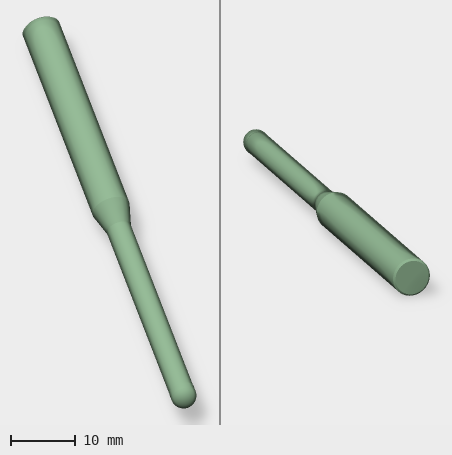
import cadquery as cq

total_length = 75.0
shank_diameter = 6.0
shank_length = 36.0
shank_chamfer = 0.3
taper_length = 4.05
neck_diameter = 3.9
head_diameter = 4.0
head_length = 3.0

shank_radius = shank_diameter / 2
neck_radius = neck_diameter / 2
ball_radius = head_diameter / 2

back_x = -total_length / 2
tip_x = total_length / 2
shank_end_x = back_x + shank_length
neck_start_x = shank_end_x + taper_length
head_start_x = tip_x - head_length
ball_centre_x = tip_x - ball_radius
arc_offset = ball_radius * 0.5**0.5

half_profile = (
    cq.Workplane("XY")
    .moveTo(back_x, 0)
    .lineTo(back_x, shank_radius - shank_chamfer)
    .lineTo(back_x + shank_chamfer, shank_radius)
    .lineTo(shank_end_x, shank_radius)
    .lineTo(neck_start_x, neck_radius)
    .lineTo(head_start_x, neck_radius)
    .lineTo(head_start_x, ball_radius)
    .lineTo(ball_centre_x, ball_radius)
    .threePointArc((ball_centre_x + arc_offset, arc_offset), (tip_x, 0))
    .close()
)

result = half_profile.revolve(360, (0, 0, 0), (1, 0, 0))